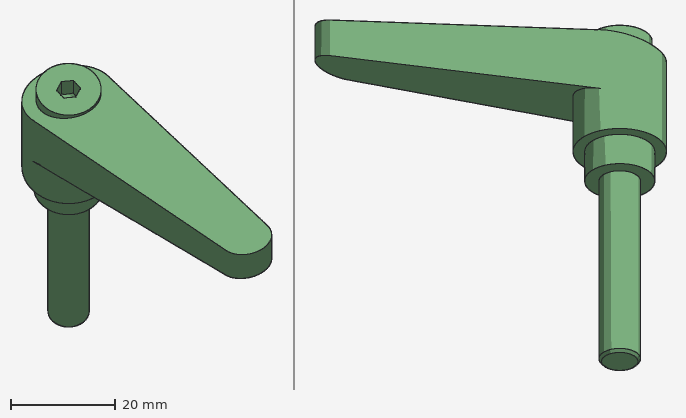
import cadquery as cq
import math


stud_diameter = 8.0
stud_length = 40.0
stud_chamfer_height = 0.6
stud_end_diameter = 7.0

collar_diameter = 13.5
collar_height = 6.5
hub_radius = 9.0

lever_length = 71.0
lever_top_z = 45.66
hub_top_low_z = 26.2
underside_slope = math.radians(20)
tip_radius = 5.0
tip_thickness = 7.5

head_diameter = 12.5
head_top_z = 31.0
socket_flats = 4.0
socket_depth = 4.0
socket_cone_angle = math.radians(118)

tip_x = lever_length - hub_radius
tip_center_x = tip_x - tip_radius
top_slope = math.atan((lever_top_z - hub_top_low_z) / lever_length)
tip_bottom_z = lever_top_z - tip_thickness

flank_angle = math.asin((hub_radius - tip_radius) / tip_center_x)
hub_tangent_x = hub_radius * math.sin(flank_angle)
hub_tangent_y = hub_radius * math.cos(flank_angle)
tip_tangent_x = tip_center_x + tip_radius * math.sin(flank_angle)
tip_tangent_y = tip_radius * math.cos(flank_angle)


def cylinder(diameter, bottom_z, top_z):
    """Cylinder on the stud axis between two heights."""
    return cq.Workplane("XY").workplane(offset=bottom_z).circle(diameter / 2).extrude(top_z - bottom_z)


def make_stud():
    """Stud with a chamfered lower end."""
    stud_radius = stud_diameter / 2
    chamfer_width = (stud_diameter - stud_end_diameter) / 2
    stud = cq.Workplane("XY").circle(stud_radius).extrude(-stud_length)
    return stud.faces("<Z").chamfer(stud_chamfer_height, chamfer_width)


def make_lever_plan():
    """Tapered plan outline with round ends, as tall as the whole lever."""
    return (
        cq.Workplane("XY")
        .workplane(offset=collar_height)
        .moveTo(hub_tangent_x, hub_tangent_y)
        .threePointArc((-hub_radius, 0), (hub_tangent_x, -hub_tangent_y))
        .lineTo(tip_tangent_x, -tip_tangent_y)
        .threePointArc((tip_x, 0), (tip_tangent_x, tip_tangent_y))
        .close()
        .extrude(lever_top_z - collar_height)
    )


def extrude_side_profile(points):
    """Side profile in XZ, extruded across the full lever width."""
    return cq.Workplane("XZ").polyline(points).close().extrude(hub_radius, both=True)


def make_arm():
    """Tapered arm rising from the hub, bounded by two sloping planes."""
    reach = tip_x - hub_tangent_x
    profile = [
        (hub_tangent_x, tip_bottom_z - reach * math.tan(underside_slope)),
        (tip_x, tip_bottom_z),
        (tip_x, lever_top_z),
        (hub_tangent_x, lever_top_z - reach * math.tan(top_slope)),
    ]
    return extrude_side_profile(profile).intersect(make_lever_plan())


def make_hub():
    """Hub cylinder whose top follows the slope of the arm."""
    hub_top_high_z = hub_top_low_z + 2 * hub_radius * math.tan(top_slope)
    profile = [
        (-hub_radius, collar_height),
        (hub_radius, collar_height),
        (hub_radius, hub_top_high_z),
        (-hub_radius, hub_top_low_z),
    ]
    return extrude_side_profile(profile).intersect(cylinder(2 * hub_radius, collar_height, lever_top_z))


def make_socket():
    """Hexagon socket ending in a drill-point cone."""
    corner_diameter = socket_flats / math.cos(math.pi / 6)
    cone_radius = corner_diameter / 2
    cone_depth = cone_radius / math.tan(socket_cone_angle / 2)
    floor_z = head_top_z - socket_depth
    hexagon = (
        cq.Workplane("XY")
        .workplane(offset=floor_z - cone_depth)
        .polygon(6, corner_diameter)
        .extrude(socket_depth + cone_depth)
    )
    drill_point = (
        cq.Workplane("XZ")
        .polyline([(0, floor_z - cone_depth), (cone_radius, floor_z), (cone_radius, head_top_z), (0, head_top_z)])
        .close()
        .revolve(360, (0, 0, 0), (0, 1, 0))
    )
    return hexagon.intersect(drill_point)


collar = cylinder(collar_diameter, 0, collar_height)
screw_head = cylinder(head_diameter, collar_height, head_top_z)

result = (
    make_hub()
    .union(make_arm())
    .union(collar)
    .union(make_stud())
    .union(screw_head)
    .cut(make_socket())
)